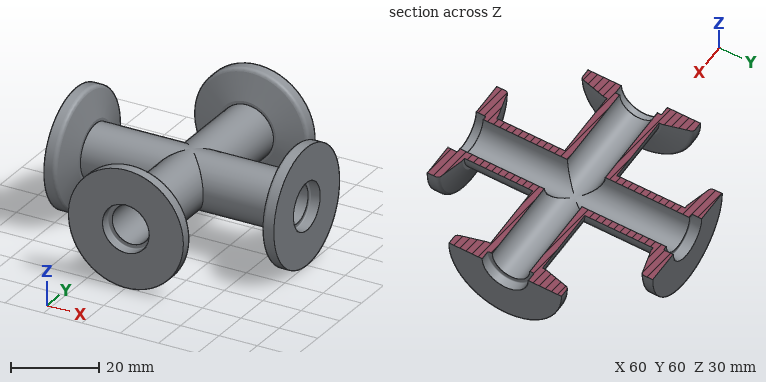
import cadquery as cq
import math

span = 60.0
flange_diameter = span / 2
flange_length = 5.0
cone_angle = 15.0
cone_end_diameter = 15.4
rim_fillet = 1.0
tube_diameter = 14.0
bore_diameter = 9.95
socket_diameter = 12.2
socket_depth = 2.5
socket_fillet = 0.25

arm_length = span / 2
flange_radius = flange_diameter / 2
cone_end_radius = cone_end_diameter / 2
cone_length = (flange_radius - cone_end_radius) * math.tan(math.radians(cone_angle))
rim_length = flange_length - cone_length
arm_angles = [0, 90, 180, 270]


def cylinder(diameter, start, length):
    """Cylinder along +X, beginning at the given distance from the centre."""
    return cq.Workplane("YZ", origin=(start, 0, 0)).circle(diameter / 2).extrude(length)


def flange():
    """Flange at the +X end: flat face, rounded rim and conical back."""
    back = arm_length - flange_length
    rim_start = arm_length - rim_length
    return (
        cq.Workplane("XY")
        .moveTo(back, 0)
        .lineTo(back, cone_end_radius)
        .lineTo(rim_start, flange_radius)
        .lineTo(arm_length, flange_radius)
        .lineTo(arm_length, 0)
        .close()
        .revolve(360, (0, 0, 0), (1, 0, 0))
        .edges(cq.selectors.RadiusNthSelector(-1))
        .edges("<X")
        .fillet(rim_fillet)
    )


def socket():
    """Counterbore in the flange face, rounded at its floor."""
    start = arm_length - socket_depth
    return cylinder(socket_diameter, start, socket_depth).faces("<X").edges().fillet(socket_fillet)


def around_cross(arm_feature):
    """Join copies of a +X arm feature turned to all four arms."""
    joined = cq.Workplane("XY")
    for angle in arm_angles:
        joined = joined.add(arm_feature.rotate((0, 0, 0), (0, 0, 1), angle))
    return joined.combine()


def crossed_cylinders(diameter):
    """Two full-length cylinders crossing at the centre."""
    along_x = cylinder(diameter, -arm_length, span)
    along_y = along_x.rotate((0, 0, 0), (0, 0, 1), 90)
    return along_x.union(along_y)


body = crossed_cylinders(tube_diameter).union(around_cross(flange()))
bores = crossed_cylinders(bore_diameter)
result = body.cut(bores).cut(around_cross(socket()))